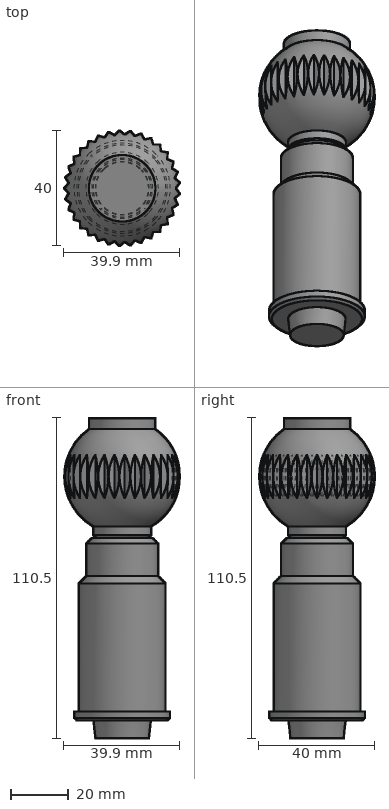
import cadquery as cq
import math

total_height = 110.5
flange_bottom_z = 6.1
flange_top_z = 9.3
shoulder_z = 56.0
neck_bottom_z = 69.2
ball_center_z = 90.4

tip_radius = 9.3
tip_base_radius = 10.0
flange_radius = 16.6
barrel_radius = 15.0
collar_radius = 12.5
neck_radius = 10.1
ball_radius = 20.0
cap_radius = 11.5

flange_chamfer = 1.0
collar_chamfer = 2.0
neck_chamfer = 1.0

groove_count = 33
groove_root_radius = 18.6
groove_angle = 107.0


def make_housing():
    """Turned housing: tapered tip, flange, barrel and chamfered collar, with a 45 degree shoulder."""
    return (
        cq.Workplane("XZ")
        .moveTo(0, 0)
        .lineTo(tip_radius, 0)
        .lineTo(tip_base_radius, flange_bottom_z)
        .lineTo(flange_radius - flange_chamfer, flange_bottom_z)
        .lineTo(flange_radius, flange_bottom_z + flange_chamfer)
        .lineTo(flange_radius, flange_top_z)
        .lineTo(barrel_radius, flange_top_z)
        .lineTo(barrel_radius, shoulder_z - (barrel_radius - collar_radius))
        .lineTo(collar_radius, shoulder_z)
        .lineTo(collar_radius, neck_bottom_z - collar_chamfer)
        .lineTo(collar_radius - collar_chamfer, neck_bottom_z)
        .lineTo(0, neck_bottom_z)
        .close()
        .revolve(360, (0, 0), (0, 1))
    )


def make_knob_blank():
    """Turned knob: chamfered neck, ball and flat cap."""
    ball_bottom_z = ball_center_z - math.sqrt(ball_radius**2 - neck_radius**2)
    ball_top_z = ball_center_z + math.sqrt(ball_radius**2 - cap_radius**2)
    return (
        cq.Workplane("XZ")
        .moveTo(0, neck_bottom_z)
        .lineTo(neck_radius - neck_chamfer, neck_bottom_z)
        .lineTo(neck_radius, neck_bottom_z + neck_chamfer)
        .lineTo(neck_radius, ball_bottom_z)
        .threePointArc((ball_radius, ball_center_z), (cap_radius, ball_top_z))
        .lineTo(cap_radius, total_height)
        .lineTo(0, total_height)
        .close()
        .revolve(360, (0, 0), (0, 1))
    )


def make_groove_cutter():
    """Upright V prism with its root on +X, opening past the outside of the ball."""
    mouth_radius = ball_radius + 1.1
    mouth_half_width = (mouth_radius - groove_root_radius) * math.tan(math.radians(groove_angle / 2))
    return (
        cq.Workplane("XY", origin=(0, 0, ball_center_z - ball_radius))
        .moveTo(groove_root_radius, 0)
        .lineTo(mouth_radius, mouth_half_width)
        .lineTo(mouth_radius, -mouth_half_width)
        .close()
        .extrude(2 * ball_radius)
    )


def make_knob():
    """Knob blank with the V grooves cut around the ball."""
    knob = make_knob_blank()
    cutter = make_groove_cutter()
    for index in range(groove_count):
        angle = index * 360 / groove_count
        knob = knob.cut(cutter.rotate((0, 0, 0), (0, 0, 1), angle))
    return knob


housing = make_housing()
knob = make_knob()

result = cq.Compound.makeCompound([housing.val(), knob.val()])